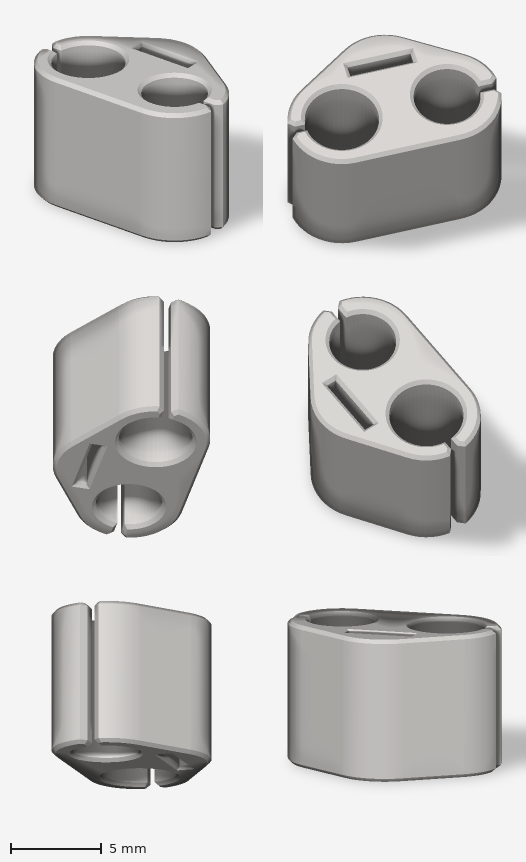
import cadquery as cq
import math

overall_length = 11.9
height = 8.0
lobe_radius = 3.0
lobe_offset = 3.0
apex_center_y = 2.0
left_bore_radius = 2.05
right_bore_radius = 1.85
gap_width = 0.4
slot_length = 3.59
slot_width = 0.6
slot_center_y = 3.0
edge_chamfer = 0.2


def body():
    """Rounded triangle: three equal circles joined by their outer tangents."""
    side_length = math.hypot(lobe_offset, apex_center_y)
    normal_x = apex_center_y / side_length
    normal_y = lobe_offset / side_length
    tangent_x = lobe_radius * normal_x
    tangent_y = lobe_radius * normal_y
    middle_angle = (math.atan2(normal_y, normal_x) - math.pi / 2) / 2
    middle_x = lobe_offset + lobe_radius * math.cos(middle_angle)
    middle_y = lobe_radius * math.sin(middle_angle)
    return (
        cq.Workplane("XY")
        .moveTo(-lobe_offset, -lobe_radius)
        .lineTo(lobe_offset, -lobe_radius)
        .threePointArc((middle_x, middle_y), (lobe_offset + tangent_x, tangent_y))
        .lineTo(tangent_x, apex_center_y + tangent_y)
        .threePointArc((0, apex_center_y + lobe_radius), (-tangent_x, apex_center_y + tangent_y))
        .lineTo(-lobe_offset - tangent_x, tangent_y)
        .threePointArc((-middle_x, middle_y), (-lobe_offset, -lobe_radius))
        .close()
        .extrude(height)
    )


def bore_with_opening(side, radius):
    """Bore, its gap to the outside and the 45 degree lead-in; side is -1 (left) or +1 (right)."""
    center_x = side * lobe_offset
    bore = cq.Workplane("XY").center(center_x, 0).circle(radius).extrude(height)
    gap = (
        cq.Workplane("XY")
        .center(center_x + side * lobe_radius / 2, 0)
        .rect(lobe_radius + gap_width, gap_width)
        .extrude(height)
    )
    tip_x = overall_length / 2
    tip_y = math.sqrt(lobe_radius**2 - (tip_x - lobe_offset) ** 2)
    vertex_x = tip_x - tip_y
    wedge_depth = 2 * tip_y
    wedge_end_x = side * (vertex_x + wedge_depth)
    lead_in = (
        cq.Workplane("XY")
        .polyline([(side * vertex_x, 0), (wedge_end_x, wedge_depth), (wedge_end_x, -wedge_depth)])
        .close()
        .extrude(height)
    )
    return bore.union(gap).union(lead_in)


slot = cq.Workplane("XY").center(0, slot_center_y).rect(slot_length, slot_width).extrude(height)

result = (
    body()
    .cut(bore_with_opening(-1, left_bore_radius))
    .cut(bore_with_opening(1, right_bore_radius))
    .cut(slot)
)

result = result.faces(">Z or <Z").edges().chamfer(edge_chamfer)